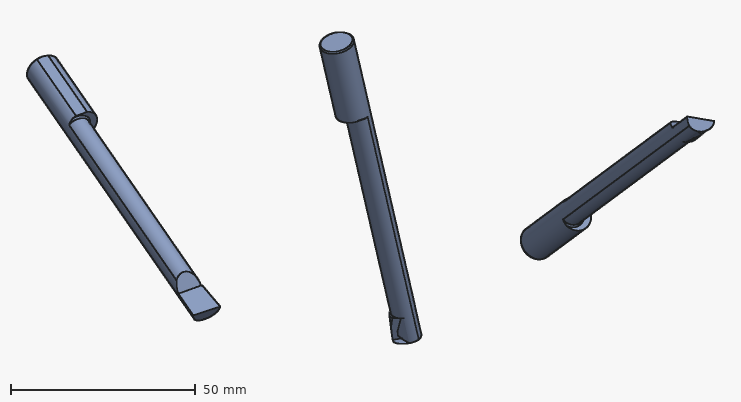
import cadquery as cq
import math

total_length = 101.6
shank_diameter = 9.5
shank_length = 24.1
shank_flat_height = 4.5
shank_chamfer = 0.4
neck_diameter = 7.2
neck_side = 2.1
shoulder_chamfer = 0.5
tip_length = 9.3
tip_reach = 3.3
flank_angle = 5.0
front_clearance = 8.0
end_skew = 2.0

shank_radius = shank_diameter / 2
neck_radius = neck_diameter / 2
neck_axis_y = neck_side - neck_radius
tip_start = total_length - tip_length


def rod(radius, length):
    """Cylinder along the shank axis, starting at X = 0."""
    return cq.Workplane("YZ").circle(radius).extrude(length)


def make_shank():
    shank = rod(shank_radius, shank_length).faces("<X").chamfer(shank_chamfer)
    flat_cut = (
        cq.Workplane("XY", origin=(0, 0, shank_flat_height))
        .rect(2 * shank_length, shank_diameter)
        .extrude(shank_radius)
    )
    return shank.cut(flat_cut)


def make_neck():
    """Offset round neck with a conical shoulder, trimmed to the shank cylinder."""
    shoulder_end = shank_length + shoulder_chamfer
    neck = (
        cq.Workplane("XY", origin=(0, neck_axis_y, 0))
        .moveTo(shank_length, 0)
        .lineTo(shank_length, neck_radius + shoulder_chamfer)
        .lineTo(shoulder_end, neck_radius)
        .lineTo(total_length, neck_radius)
        .lineTo(total_length, 0)
        .close()
        .revolve(360, (0, 0, 0), (1, 0, 0))
    )
    envelope = rod(shank_radius, total_length)
    return neck.intersect(envelope)


def make_cutting_edge():
    """Rounded side of the tip that projects beyond the neck and tapers backwards."""
    half_width = tip_reach - neck_axis_y
    body = (
        cq.Workplane("YZ", origin=(tip_start, neck_axis_y, 0))
        .ellipse(half_width, neck_radius)
        .extrude(tip_length)
    )
    edge_drop = tip_length * math.tan(math.radians(flank_angle))
    plan = (
        cq.Workplane("XY")
        .moveTo(tip_start, neck_axis_y)
        .lineTo(total_length, neck_axis_y)
        .lineTo(total_length, tip_reach)
        .lineTo(tip_start, tip_reach - edge_drop)
        .close()
        .extrude(-neck_radius)
    )
    return body.intersect(plan)


def make_top_cut():
    """Space above the tip, down to the axis, with a 45 degree run-out."""
    return (
        cq.Workplane("XZ")
        .moveTo(tip_start, 0)
        .lineTo(total_length, 0)
        .lineTo(total_length, shank_radius)
        .lineTo(tip_start - shank_radius, shank_radius)
        .close()
        .extrude(shank_diameter, both=True)
    )


def make_end_cut():
    """Half-space beyond the end face, which slopes back from the cutting corner."""
    cutter_width = 4 * shank_diameter
    return (
        cq.Workplane("YZ")
        .rect(cutter_width, cutter_width)
        .extrude(shank_diameter)
        .rotate((0, 0, 0), (0, 1, 0), front_clearance)
        .rotate((0, 0, 0), (0, 0, 1), -end_skew)
        .translate((total_length, tip_reach, 0))
    )


result = (
    make_shank()
    .union(make_neck())
    .cut(make_top_cut())
    .union(make_cutting_edge())
    .cut(make_end_cut())
)